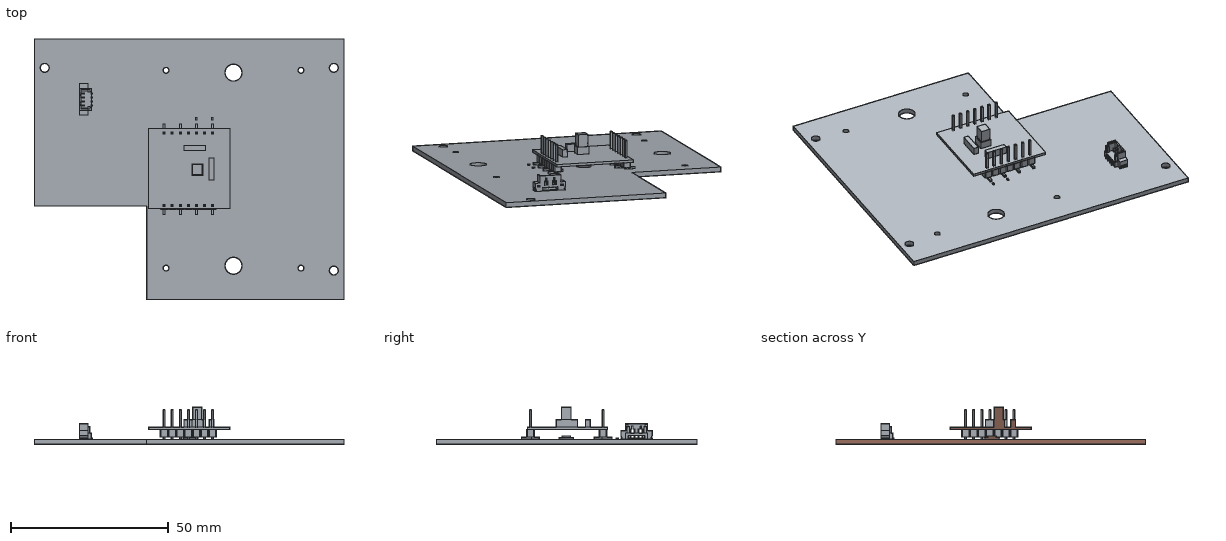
import cadquery as cq


BOARD_LENGTH = 98.0
BOARD_WIDTH = 82.6
BOARD_THICKNESS = 1.6
MOUNTING_GAP = 0.1
CUTOUT_LENGTH = 35.5
CUTOUT_WIDTH = 29.6

LARGE_HOLE_DIAMETER = 5.3
LARGE_HOLE_SPACING = 61.1
SMALL_HOLE_DIAMETER = 1.8
SMALL_HOLE_SPACING_X = 42.7
SMALL_HOLE_SPACING_Y = 62.6
HOLE_PATTERN_X = 63.0
EDGE_HOLE_DIAMETER = 2.7
EDGE_HOLE_INSET_X = 3.2
EDGE_HOLE_INSET_Y = 9.2

MODULE_LENGTH = 25.7
MODULE_WIDTH = 25.4
MODULE_THICKNESS = 0.8
MODULE_X = 49.0
MODULE_Y = 41.5
TOTAL_HEIGHT = 11.8

STRIP_LENGTH = 6.9
STRIP_WIDTH = 1.6
STRIP_HEIGHT = 2.4
STRIP_ALONG_X_CENTER = (50.7, 48.0)
STRIP_ALONG_Y_CENTER = (56.0, 41.3)
SWITCH_LEFT = 49.9
SWITCH_Y = 41.1
SWITCH_BASE_LENGTH = 3.5
SWITCH_BASE_WIDTH = 3.7
PLUNGER_INSET = 0.2
PLUNGER_LENGTH = 2.9
PLUNGER_WIDTH = 3.1

PIN_COUNT = 7
PIN_PITCH = 2.5
PIN_SIZE = 0.64
PIN_TOP = 11.0
PIN_TIP_CHAMFER = 0.15
FOOT_REACH = 2.8
HEADER_SPACING = 23.0
HEADER_X = 48.7
HEADER_DEPTH = PIN_PITCH
HEADER_HEIGHT = 2.4
HEADER_NOTCH = 0.3

DISC_X = 49.4
DISC_Y = 41.1
DISC_DIAMETER = 4.7
DISC_RIM_HEIGHT = 0.5
DISC_CAP_DIAMETER = 2.7
DISC_HEIGHT = 1.0

CHIP_LENGTH = 0.8
CHIP_WIDTH = 0.5
CHIP_HEIGHT = 0.3
CHIP_Y = 57.2
CHIP_PINS = (4, 6)

CONNECTOR_LEFT = 14.2
CONNECTOR_Y = 63.4
CONNECTOR_DEPTH = 3.8
CONNECTOR_WIDTH = 7.0
CONNECTOR_HEIGHT = 4.9
END_WALL_DEPTH = 2.7
WALL = 0.5
END_WALL = 0.8
CAVITY_WIDTH = CONNECTOR_WIDTH - 2 * END_WALL
FLOOR_HEIGHT = 1.9
LIP_WIDTH = 0.4
LIP_DEPTH = 0.3
RIB_PROJECTION = 0.6
RIB_THICKNESS = 0.8
RIB_HEIGHT = 3.9
FOOT_HEIGHT = 0.3
UNDERCUT_TOP = 1.1
UNDERCUT_WIDTH = 5.1
TAB_SPAN = 10.0
TAB_HEIGHT = 2.6
TAB_CHAMFER_WIDTH = 0.4
TAB_CHAMFER_HEIGHT = 0.8
TAB_POCKET_WIDTH = 0.8
TAB_POCKET_HEIGHT = 0.4
TAB_POCKET_DEPTH = 0.5
TAB_POCKET_BASE = 1.5
WINDOW_WIDTH = 1.2
WINDOW_BASE = FLOOR_HEIGHT
WINDOW_HEIGHT = 1.3
WINDOW_NOTCH_WIDTH = 0.4
WINDOW_NOTCH_HEIGHT = 1.0
WINDOW_SPACING = 2.7
CONTACT_COUNT = 4
CONTACT_PITCH = 1.3
CONTACT_THICKNESS = 0.3
CONTACT_OFFSET = 0.8
CONTACT_DEPTH = 0.8
CONTACT_HEIGHT = 3.1
CONTACT_FOOT_PROJECTION = 0.4

SEAT = BOARD_THICKNESS + MOUNTING_GAP
HEADER_BASE = SEAT + PIN_SIZE
MODULE_BASE = HEADER_BASE + HEADER_HEIGHT
MODULE_TOP = MODULE_BASE + MODULE_THICKNESS


def block(x_range, y_range, z_range):
    """Box between two limits along each axis."""
    size = [high - low for low, high in (x_range, y_range, z_range)]
    return cq.Workplane("XY").box(*size, centered=False).translate((x_range[0], y_range[0], z_range[0]))


def span(center, size):
    """Limits of a length centred on a place."""
    return (center - size / 2, center + size / 2)


def rise(base, height):
    """Limits of a height standing on a base."""
    return (base, base + height)


def row(center, count, pitch):
    """Evenly spaced places centred on a place."""
    return [center + (i - (count - 1) / 2) * pitch for i in range(count)]


PIN_XS = row(HEADER_X, PIN_COUNT, PIN_PITCH)
HEADER_YS = row(BOARD_WIDTH / 2, 2, HEADER_SPACING)


def make_main_board():
    outline = [
        (CUTOUT_LENGTH, 0),
        (BOARD_LENGTH, 0),
        (BOARD_LENGTH, BOARD_WIDTH),
        (0, BOARD_WIDTH),
        (0, CUTOUT_WIDTH),
        (CUTOUT_LENGTH, CUTOUT_WIDTH),
    ]
    right = BOARD_LENGTH - EDGE_HOLE_INSET_X
    back = BOARD_WIDTH - EDGE_HOLE_INSET_Y
    mid_y = BOARD_WIDTH / 2
    large_holes = [(HOLE_PATTERN_X, y) for y in row(mid_y, 2, LARGE_HOLE_SPACING)]
    small_holes = [
        (x, y)
        for x in row(HOLE_PATTERN_X, 2, SMALL_HOLE_SPACING_X)
        for y in row(mid_y, 2, SMALL_HOLE_SPACING_Y)
    ]
    edge_holes = [(EDGE_HOLE_INSET_X, back), (right, back), (right, EDGE_HOLE_INSET_Y)]

    board = cq.Workplane("XY").polyline(outline).close().extrude(BOARD_THICKNESS)
    for diameter, places in (
        (LARGE_HOLE_DIAMETER, large_holes),
        (SMALL_HOLE_DIAMETER, small_holes),
        (EDGE_HOLE_DIAMETER, edge_holes),
    ):
        holes = cq.Workplane("XY").pushPoints(places).circle(diameter / 2).extrude(BOARD_THICKNESS)
        board = board.cut(holes)
    return board


def make_module():
    """Small board with its two strips and its switch, pierced by the header pins."""
    plate = block(
        span(MODULE_X, MODULE_LENGTH),
        span(MODULE_Y, MODULE_WIDTH),
        (MODULE_BASE, MODULE_TOP),
    )
    pin_places = [(x, y) for x in PIN_XS for y in HEADER_YS]
    pin_holes = (
        cq.Workplane("XY", origin=(0, 0, MODULE_BASE))
        .pushPoints(pin_places)
        .rect(PIN_SIZE, PIN_SIZE)
        .extrude(MODULE_THICKNESS)
    )
    component_z = rise(MODULE_TOP, STRIP_HEIGHT)
    x, y = STRIP_ALONG_X_CENTER
    strip_along_x = block(span(x, STRIP_LENGTH), span(y, STRIP_WIDTH), component_z)
    x, y = STRIP_ALONG_Y_CENTER
    strip_along_y = block(span(x, STRIP_WIDTH), span(y, STRIP_LENGTH), component_z)
    switch_base = block(
        rise(SWITCH_LEFT, SWITCH_BASE_LENGTH),
        span(SWITCH_Y, SWITCH_BASE_WIDTH),
        component_z,
    )
    plunger = block(
        rise(SWITCH_LEFT + PLUNGER_INSET, PLUNGER_LENGTH),
        span(SWITCH_Y, PLUNGER_WIDTH),
        (MODULE_TOP, TOTAL_HEIGHT),
    )
    return plate.cut(pin_holes).union(strip_along_x).union(strip_along_y).union(switch_base).union(plunger)


def make_header(center_y, first_foot_side):
    """Pin strip whose feet point to alternate sides, the first one to first_foot_side (+1 or -1 in Y)."""
    length = PIN_COUNT * PIN_PITCH
    header = block(
        span(HEADER_X, length),
        span(center_y, HEADER_DEPTH),
        (HEADER_BASE, MODULE_BASE),
    )
    notch_places = [
        (x, y)
        for x in row(HEADER_X, PIN_COUNT + 1, PIN_PITCH)
        for y in span(center_y, HEADER_DEPTH)
    ]
    notches = (
        cq.Workplane("XY", origin=(0, 0, HEADER_BASE))
        .pushPoints(notch_places)
        .polygon(4, 2 * HEADER_NOTCH)
        .extrude(HEADER_HEIGHT)
    )
    header = header.cut(notches)
    for i, x in enumerate(PIN_XS):
        side = first_foot_side * (-1) ** i
        foot_y = sorted((center_y - side * PIN_SIZE / 2, center_y + side * FOOT_REACH))
        pin = block(span(x, PIN_SIZE), span(center_y, PIN_SIZE), (SEAT, PIN_TOP))
        pin = pin.faces(">Z").chamfer(PIN_TIP_CHAMFER)
        foot = block(span(x, PIN_SIZE), foot_y, rise(SEAT, PIN_SIZE))
        header = header.union(pin).union(foot)
    return header


def make_disc():
    rim = cq.Workplane("XY").circle(DISC_DIAMETER / 2).extrude(DISC_RIM_HEIGHT)
    cap = cq.Workplane("XY").circle(DISC_CAP_DIAMETER / 2).extrude(DISC_HEIGHT)
    return rim.union(cap).translate((DISC_X, DISC_Y, SEAT))


def make_chip(x):
    return block(span(x, CHIP_WIDTH), span(CHIP_Y, CHIP_LENGTH), rise(SEAT, CHIP_HEIGHT))


def connector_housing():
    """Tray with a tall front wall and two end walls, open at the top and towards +X."""
    housing = block((0, CONNECTOR_DEPTH), span(0, CONNECTOR_WIDTH), (0, FLOOR_HEIGHT))
    housing = housing.union(block((0, END_WALL_DEPTH), span(0, CONNECTOR_WIDTH), (0, CONNECTOR_HEIGHT)))
    cavity_x = (WALL, END_WALL_DEPTH)
    lip_width = CAVITY_WIDTH + 2 * LIP_WIDTH
    housing = housing.cut(block(cavity_x, span(0, CAVITY_WIDTH), (FLOOR_HEIGHT, CONNECTOR_HEIGHT)))
    housing = housing.cut(
        block(cavity_x, span(0, lip_width), (CONNECTOR_HEIGHT - LIP_DEPTH, CONNECTOR_HEIGHT))
    )
    housing = housing.cut(block((0, CONNECTOR_DEPTH), span(0, UNDERCUT_WIDTH), (FOOT_HEIGHT, UNDERCUT_TOP)))

    for y in row(0, 2, WINDOW_SPACING):
        window = block((0, WALL), span(y, WINDOW_WIDTH), rise(WINDOW_BASE, WINDOW_HEIGHT))
        notch = block(
            (0, WALL),
            span(y, WINDOW_NOTCH_WIDTH),
            rise(WINDOW_BASE + WINDOW_HEIGHT, WINDOW_NOTCH_HEIGHT),
        )
        housing = housing.cut(window).cut(notch)
    return housing


def connector_end():
    """Rib behind the +Y end wall, and the mounting tab on its thin foot, with a pocket in the tab's front."""
    outer_y = CONNECTOR_WIDTH / 2
    tab_y = (outer_y, TAB_SPAN / 2)
    rib = block(
        rise(END_WALL_DEPTH, RIB_PROJECTION),
        rise(CAVITY_WIDTH / 2 - LIP_WIDTH, RIB_THICKNESS),
        (UNDERCUT_TOP, RIB_HEIGHT),
    )
    tab_profile = [
        (tab_y[0], FOOT_HEIGHT),
        (tab_y[1] - TAB_CHAMFER_WIDTH, FOOT_HEIGHT),
        (tab_y[1], FOOT_HEIGHT + TAB_CHAMFER_HEIGHT),
        (tab_y[1], TAB_HEIGHT),
        (tab_y[0], TAB_HEIGHT),
    ]
    tab = cq.Workplane("YZ").polyline(tab_profile).close().extrude(END_WALL_DEPTH)
    pocket = block(
        (0, TAB_POCKET_DEPTH),
        rise(outer_y, TAB_POCKET_WIDTH),
        rise(TAB_POCKET_BASE, TAB_POCKET_HEIGHT),
    )
    foot = block((0, END_WALL_DEPTH), tab_y, (0, FOOT_HEIGHT))
    return rib.union(tab.cut(pocket)).union(foot)


def connector_contact(y):
    """Blade standing in the cavity, and a leg whose foot reaches out behind."""
    across = span(y, CONTACT_THICKNESS)
    leg_front = CONNECTOR_DEPTH - WALL
    blade = block(rise(CONTACT_OFFSET, CONTACT_DEPTH), across, (UNDERCUT_TOP, CONTACT_HEIGHT))
    leg = block((leg_front, CONNECTOR_DEPTH), across, (0, UNDERCUT_TOP))
    foot = block((leg_front, CONNECTOR_DEPTH + CONTACT_FOOT_PROJECTION), across, (0, FOOT_HEIGHT))
    return [blade, leg, foot]


def make_connector():
    """Cable connector, with X = 0 at its tall wall, Y = 0 at its middle and Z = 0 underneath until placed."""
    end = connector_end()
    connector = connector_housing().union(end).union(end.mirror("XZ"))
    for y in row(0, CONTACT_COUNT, CONTACT_PITCH):
        for piece in connector_contact(y):
            connector = connector.union(piece)
    return connector.translate((CONNECTOR_LEFT, CONNECTOR_Y, SEAT))


main_board = make_main_board()
module = make_module()
headers = [make_header(y, side) for y, side in zip(HEADER_YS, (-1, 1))]
disc = make_disc()
chips = [make_chip(PIN_XS[i]) for i in CHIP_PINS]
connector = make_connector()

bodies = [main_board, module, *headers, disc, *chips, connector]
result = cq.Compound.makeCompound([solid for body in bodies for solid in body.solids().vals()])